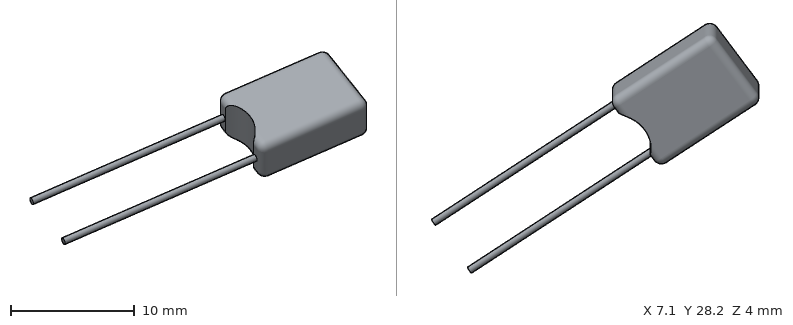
import cadquery as cq

total_length = 28.18
housing_width = 7.1
housing_length = 10.17
housing_height = 4.0
edge_radius = 0.7
lead_diameter = 0.6
lead_spacing = 5.07
notch_depth = 1.01

lead_length = total_length - housing_length
notch_half_width = (lead_spacing - lead_diameter) / 2


def make_housing():
    """Rounded block with its lead face on the XZ plane and a curved notch between the leads."""
    block = (
        cq.Workplane("XY")
        .box(housing_width, housing_length, housing_height)
        .translate((0, housing_length / 2, 0))
        .edges()
        .fillet(edge_radius)
    )
    notch = (
        cq.Workplane("XY")
        .moveTo(-notch_half_width, 0)
        .threePointArc((0, notch_depth), (notch_half_width, 0))
        .close()
        .extrude(housing_height / 2, both=True)
    )
    return block.cut(notch).solids()


def make_lead(x):
    """Straight round wire that butts against the housing and runs toward -Y."""
    return (
        cq.Workplane("XZ")
        .center(x, 0)
        .circle(lead_diameter / 2)
        .extrude(lead_length)
    )


housing = make_housing()
leads = [make_lead(side * lead_spacing / 2) for side in (-1, 1)]

result = cq.Compound.makeCompound([housing.val(), *[lead.val() for lead in leads]])